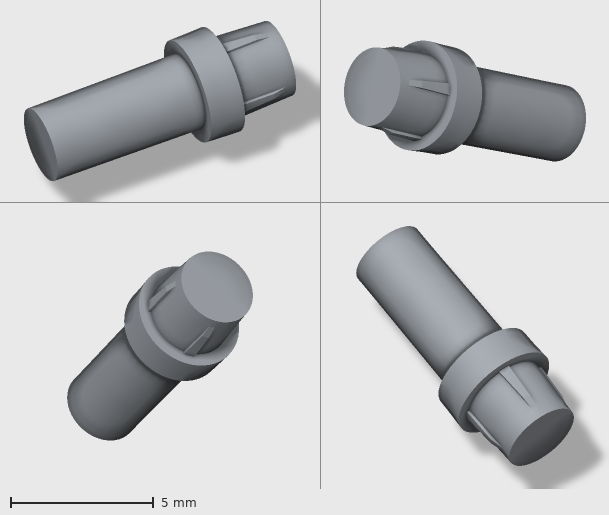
import cadquery as cq

total_length = 9.27
plug_length = 2.26
collar_length = 1.29
plug_base_y = total_length - plug_length
shank_top_y = plug_base_y - collar_length

shank_end_radius = 1.35
shank_top_radius = 1.4
collar_bottom_radius = 1.9
collar_top_radius = 1.95
plug_base_radius = 1.5
plug_tip_radius = 1.39

rib_count = 4
rib_tip_gap = 0.42
ramp_length = 0.51
rib_base_width = 0.42
rib_tip_width = 0.2
rib_base_radius = 1.6
rib_break_radius = 1.55
rib_tip_y = total_length - rib_tip_gap
rib_break_y = rib_tip_y - ramp_length
plug_taper = (plug_base_radius - plug_tip_radius) / plug_length
rib_tip_radius = plug_tip_radius + plug_taper * rib_tip_gap


def make_body():
    """Shank, collar and plug revolved about the Y axis."""
    return (
        cq.Workplane("XY")
        .polyline([
            (0, 0),
            (shank_end_radius, 0),
            (shank_top_radius, shank_top_y),
            (collar_bottom_radius, shank_top_y),
            (collar_top_radius, plug_base_y),
            (plug_base_radius, plug_base_y),
            (plug_tip_radius, total_length),
            (0, total_length),
        ])
        .close()
        .revolve(360, (0, 0, 0), (0, 1, 0))
    )


def make_rib():
    """Rib on the +Z side: a conical crest trimmed by its tapered width and ramp."""
    crest_taper = (rib_base_radius - rib_break_radius) / (rib_break_y - plug_base_y)
    crest_tip_radius = rib_break_radius - crest_taper * ramp_length
    crest_cone = (
        cq.Workplane("XY")
        .polyline([
            (0, plug_base_y),
            (rib_base_radius, plug_base_y),
            (crest_tip_radius, rib_tip_y),
            (0, rib_tip_y),
        ])
        .close()
        .revolve(360, (0, 0, 0), (0, 1, 0))
    )
    width_wedge = (
        cq.Workplane("XY")
        .polyline([
            (-rib_base_width / 2, plug_base_y),
            (rib_base_width / 2, plug_base_y),
            (rib_tip_width / 2, rib_tip_y),
            (-rib_tip_width / 2, rib_tip_y),
        ])
        .close()
        .extrude(collar_top_radius)
    )
    ramp_profile = (
        cq.Workplane("YZ")
        .polyline([
            (plug_base_y, 0),
            (rib_tip_y, 0),
            (rib_tip_y, rib_tip_radius),
            (rib_break_y, rib_break_radius),
            (rib_break_y, collar_top_radius),
            (plug_base_y, collar_top_radius),
        ])
        .close()
        .extrude(rib_base_width, both=True)
    )
    return crest_cone.intersect(width_wedge).intersect(ramp_profile)


result = make_body()
rib = make_rib()
for index in range(rib_count):
    angle = index * 360 / rib_count
    result = result.union(rib.rotate((0, 0, 0), (0, 1, 0), angle))